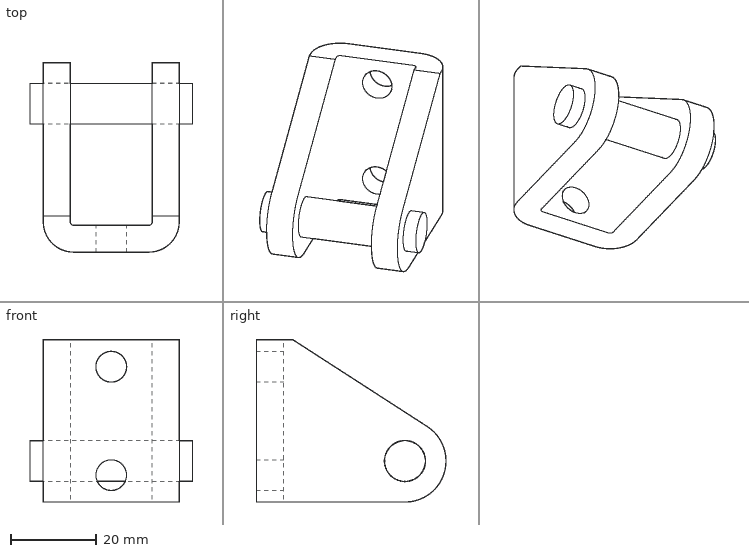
import cadquery as cq
import math

bracket_width = 31.9
bracket_length = 44.45
bracket_height = 38.1
wall = 6.35
bend_outer_radius = 7.15
bend_inner_radius = bend_outer_radius - wall
arm_top_length = 8.55

eye_radius = 9.65
eye_y = bracket_length - eye_radius
eye_z = eye_radius

pin_diameter = 9.55
bore_clearance = 0.05
bore_diameter = pin_diameter + bore_clearance
pin_length = 38.1
mount_hole_diameter = 7.15
mount_hole_inset = 6.35


def slope_tangent_angle():
    """Angle on the eye circle where the sloped arm edge becomes tangent."""
    dy = arm_top_length - eye_y
    dz = bracket_height - eye_z
    return math.atan2(dz, dy) - math.acos(eye_radius / math.hypot(dy, dz))


def eye_point(angle):
    return (eye_y + eye_radius * math.cos(angle), eye_z + eye_radius * math.sin(angle))


def make_channel():
    """U-shaped plate with rounded bends, at full height."""
    outer = (
        cq.Workplane("XY")
        .rect(bracket_width, bracket_length)
        .extrude(bracket_height)
        .translate((0, bracket_length / 2, 0))
        .edges("|Z and <Y")
        .fillet(bend_outer_radius)
    )
    inner = (
        cq.Workplane("XY")
        .rect(bracket_width - 2 * wall, bracket_length)
        .extrude(bracket_height)
        .translate((0, bracket_length / 2 + wall, 0))
        .edges("|Z and <Y")
        .fillet(bend_inner_radius)
    )
    return outer.cut(inner)


def make_side_profile():
    """Side outline of the arms, extruded across the bracket width."""
    return (
        cq.Workplane("YZ")
        .moveTo(0, 0)
        .lineTo(eye_y, 0)
        .threePointArc(eye_point(0), eye_point(slope_tangent_angle()))
        .lineTo(arm_top_length, bracket_height)
        .lineTo(0, bracket_height)
        .close()
        .extrude(bracket_width / 2, both=True)
    )


def make_cross_cylinder(diameter, length):
    """Cylinder along X on the eye axis, centred across the bracket."""
    return (
        cq.Workplane("YZ", origin=(-length / 2, eye_y, eye_z))
        .circle(diameter / 2)
        .extrude(length)
    )


def make_mount_holes():
    hole_heights = [mount_hole_inset, bracket_height - mount_hole_inset]
    return (
        cq.Workplane("XZ")
        .pushPoints([(0, z) for z in hole_heights])
        .circle(mount_hole_diameter / 2)
        .extrude(-wall)
    )


def make_bracket():
    bore = make_cross_cylinder(bore_diameter, bracket_width)
    blank = make_channel().intersect(make_side_profile())
    return blank.cut(make_mount_holes()).cut(bore)


bracket = make_bracket()
pin = make_cross_cylinder(pin_diameter, pin_length)

result = cq.Compound.makeCompound([bracket.solids().val(), pin.val()])